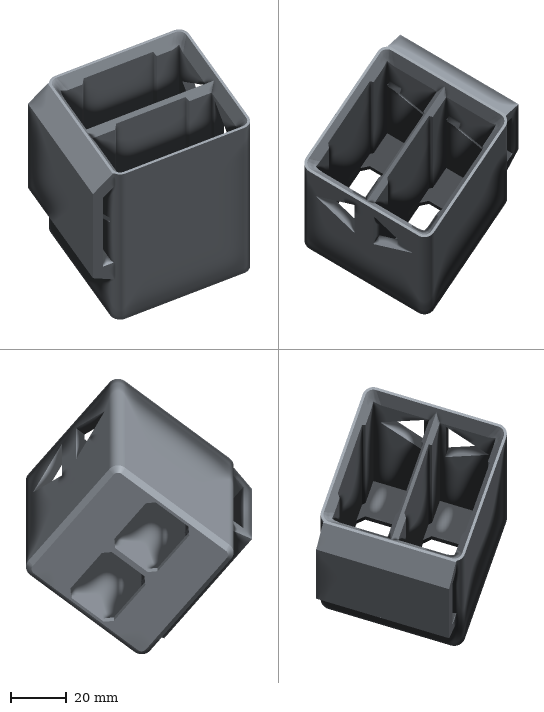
import cadquery as cq
import math

pocket_width = 21.0
pocket_length = 48.0
divider = 4.0
wall = 4.0
floor = 3.0
body_width = 2 * pocket_width + divider + 2 * wall
body_length = pocket_length + 2 * wall
body_height = 78.0
corner_radius = 4.0
base_chamfer = 2.0
pocket_pitch = pocket_width + divider
pocket_centers = (-pocket_pitch / 2, pocket_pitch / 2)
front_y = -body_length / 2

rim = 1.0
funnel_inset = wall - rim
funnel_tan = math.tan(math.radians(60))
funnel_height = funnel_inset * funnel_tan
throat_z = body_height - funnel_height
funnel_radius = corner_radius - rim

relief_depth = 1.0
relief_length = 30.0

opening_width = 23.0
opening_length = 20.0
opening_chamfer = 2.5

window_margin = 2.0
window_height = 27.6
window_tan = math.tan(math.radians(40))
window_width = window_height / 2 / window_tan
window_center_z = 57.4

slot_width = 2.0
slot_angle = math.radians(30)
slot_low_z = 38.55
slot_rise = pocket_width * math.tan(slot_angle)
slot_height = slot_width / math.cos(slot_angle)

catch_width = 5.0
catch_depth = 1.25
catch_height = catch_depth * math.tan(math.radians(65))
catch_side_gap = 1.0
catch_z = slot_low_z + slot_rise + slot_height

clip_width = 50.0
clip_reach = 8.0
clip_thickness = 4.0
clip_length = 44.0
clip_top_tan = math.tan(math.radians(40))
clip_bottom_tan = math.tan(math.radians(30))
clip_overlap = 1.5


def make_shell():
    block = cq.Workplane("XY").box(body_width, body_length, body_height, centered=(True, True, False))
    return block.edges("|Z").fillet(corner_radius).faces("<Z").edges().chamfer(base_chamfer)


def make_clip():
    outer_y = front_y - clip_reach
    inner_y = outer_y + clip_thickness
    root_y = front_y + clip_overlap
    shoulder_z = body_height - clip_reach * clip_top_tan
    toe_z = shoulder_z - clip_length
    slot_top_z = shoulder_z - clip_thickness
    slot_bottom_z = toe_z + clip_thickness
    profile = [
        (root_y, body_height),
        (front_y, body_height),
        (outer_y, shoulder_z),
        (outer_y, toe_z),
        (root_y, toe_z - (root_y - outer_y) * clip_bottom_tan),
        (root_y, slot_bottom_z),
        (inner_y, slot_bottom_z),
        (inner_y, slot_top_z),
        (root_y, slot_top_z + (root_y - inner_y) * clip_top_tan),
    ]
    return cq.Workplane("YZ").polyline(profile).close().extrude(clip_width / 2, both=True)


def make_funnel():
    """Tapered cavity above the pockets, leaving a pointed ridge on the divider."""
    mouth = cq.Sketch().rect(body_width - 2 * rim, body_length - 2 * rim).vertices().fillet(funnel_radius)
    throat = cq.Sketch().rect(body_width - 2 * wall, pocket_length).vertices().fillet(funnel_radius)
    cavity = (
        cq.Workplane("XY", origin=(0, 0, throat_z))
        .placeSketch(throat, mouth.moved(cq.Location(cq.Vector(0, 0, funnel_height))))
        .loft()
    )
    ridge_z = throat_z + divider / 2 * funnel_tan
    ridge = (
        cq.Workplane("XZ")
        .polyline([(-divider / 2, throat_z), (divider / 2, throat_z), (0, ridge_z)])
        .close()
        .extrude(body_length / 2, both=True)
    )
    return cavity.cut(ridge)


def chamfered_block(center_x, width, length, bottom_z, top_z, chamfer):
    block = cq.Workplane("XY", origin=(center_x, 0, bottom_z)).rect(width, length).extrude(top_z - bottom_z)
    return block.edges("|Z").chamfer(chamfer)


def make_pocket(center_x):
    chamber = (
        cq.Workplane("XY", origin=(center_x, 0, floor))
        .rect(pocket_width, pocket_length)
        .extrude(body_height - floor)
    )
    relief_width = pocket_width + 2 * relief_depth
    relief = chamfered_block(center_x, relief_width, relief_length, floor, body_height, relief_depth)
    opening = chamfered_block(center_x, opening_width, opening_length, 0, floor, opening_chamfer)
    return chamber.union(relief).union(opening)


def make_window(side):
    base_x = side * (divider / 2 + window_margin)
    tip_x = base_x + side * window_width
    corners = [
        (base_x, window_center_z - window_height / 2),
        (base_x, window_center_z + window_height / 2),
        (tip_x, window_center_z),
    ]
    return cq.Workplane("XZ", origin=(0, pocket_length / 2, 0)).polyline(corners).close().extrude(-wall)


def make_slot(center_x):
    left_x = center_x - pocket_width / 2
    right_x = center_x + pocket_width / 2
    corners = [
        (left_x, slot_low_z),
        (right_x, slot_low_z + slot_rise),
        (right_x, slot_low_z + slot_rise + slot_height),
        (left_x, slot_low_z + slot_height),
    ]
    return cq.Workplane("XZ", origin=(0, front_y, 0)).polyline(corners).close().extrude(-wall)


def make_catch(center_x):
    inner_face_y = -pocket_length / 2
    start_x = center_x + pocket_width / 2 - catch_side_gap - catch_width
    profile = [
        (inner_face_y, catch_z),
        (inner_face_y + catch_depth, catch_z),
        (inner_face_y, catch_z + catch_height),
    ]
    return cq.Workplane("YZ", origin=(start_x, 0, 0)).polyline(profile).close().extrude(catch_width)


body = make_shell().union(make_clip()).cut(make_funnel())
for center_x in pocket_centers:
    body = body.cut(make_pocket(center_x)).cut(make_slot(center_x)).union(make_catch(center_x))
for side in (-1, 1):
    body = body.cut(make_window(side))

result = body